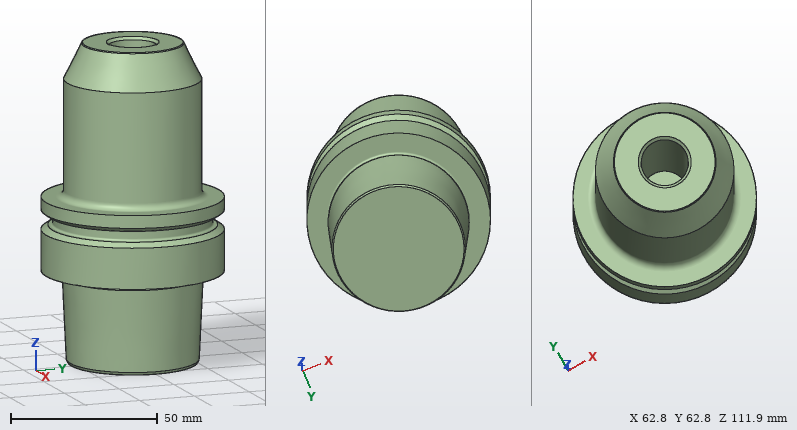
import cadquery as cq
import math

total_height = 111.9

shank_length = 32.0
shank_top_radius = 24.2
shank_bottom_radius = 22.8
shank_chamfer_height = 1.0
shank_chamfer_width = 0.5

relief_radius = 24.0
relief_fillet = 0.7
relief_wall_height = 0.7
relief_taper_height = 0.7

flange_radius = 31.4
flange_height = 25.8
groove_center = 17.9
groove_radius = 27.4
groove_mouth_width = 6.9
groove_floor_width = 3.8
groove_shoulder_radius = 29.1
groove_fillet = 0.8

nose_radius = 23.7
nose_fillet = 2.5
nose_cone_height = 12.8
nose_tip_radius = 17.6
tip_chamfer_height = 0.3
tip_chamfer_width = 0.3

bore_radius = 8.1
bore_depth = 49.2
bore_chamfer = 1.0

flange_bottom = shank_length
flange_top = flange_bottom + flange_height
groove_z = flange_bottom + groove_center
relief_top = flange_bottom - relief_fillet
relief_bottom = relief_top - relief_wall_height
shank_top = relief_bottom - relief_taper_height
diagonal = math.sqrt(0.5)


def fillet_midpoint(center_r, center_z, radius, vertical_side):
    """Midpoint of a quarter arc on the axis side of its center, below (-1) or above (+1) it."""
    return center_r - radius * diagonal, center_z + vertical_side * radius * diagonal


def add_shank(profile):
    """Small bottom chamfer, long taper and the relief under the flange."""
    return (
        profile.lineTo(shank_bottom_radius - shank_chamfer_width, 0)
        .lineTo(shank_bottom_radius, shank_chamfer_height)
        .lineTo(shank_top_radius, shank_top)
        .lineTo(relief_radius, relief_bottom)
        .lineTo(relief_radius, relief_top)
        .threePointArc(
            fillet_midpoint(relief_radius + relief_fillet, relief_top, relief_fillet, 1),
            (relief_radius + relief_fillet, flange_bottom),
        )
    )


def add_flange(profile):
    """Flange rim with a flared groove whose floor corners are rounded."""
    mouth = groove_mouth_width / 2
    floor = groove_floor_width / 2
    wall = floor - groove_fillet
    fillet_r = groove_radius + groove_fillet
    return (
        profile.lineTo(flange_radius, flange_bottom)
        .lineTo(flange_radius, groove_z - mouth)
        .lineTo(groove_shoulder_radius, groove_z - floor)
        .lineTo(fillet_r, groove_z - floor)
        .threePointArc(
            fillet_midpoint(fillet_r, groove_z - wall, groove_fillet, -1),
            (groove_radius, groove_z - wall),
        )
        .lineTo(groove_radius, groove_z + wall)
        .threePointArc(
            fillet_midpoint(fillet_r, groove_z + wall, groove_fillet, 1),
            (fillet_r, groove_z + floor),
        )
        .lineTo(groove_shoulder_radius, groove_z + floor)
        .lineTo(flange_radius, groove_z + mouth)
        .lineTo(flange_radius, flange_top)
    )


def add_nose(profile):
    """Cylinder filleted onto the flange, ending in a cone with a chamfered tip."""
    fillet_r = nose_radius + nose_fillet
    fillet_z = flange_top + nose_fillet
    return (
        profile.lineTo(fillet_r, flange_top)
        .threePointArc(
            fillet_midpoint(fillet_r, fillet_z, nose_fillet, -1),
            (nose_radius, fillet_z),
        )
        .lineTo(nose_radius, total_height - nose_cone_height)
        .lineTo(nose_tip_radius, total_height - tip_chamfer_height)
        .lineTo(nose_tip_radius - tip_chamfer_width, total_height)
    )


def add_bore(profile):
    """Blind tool bore with a chamfered mouth."""
    return (
        profile.lineTo(bore_radius + bore_chamfer, total_height)
        .lineTo(bore_radius, total_height - bore_chamfer)
        .lineTo(bore_radius, total_height - bore_depth)
        .lineTo(0, total_height - bore_depth)
    )


half_section = cq.Workplane("XZ").moveTo(0, 0)
half_section = add_shank(half_section)
half_section = add_flange(half_section)
half_section = add_nose(half_section)
half_section = add_bore(half_section).close()

result = half_section.revolve(360, (0, 0, 0), (0, 1, 0))